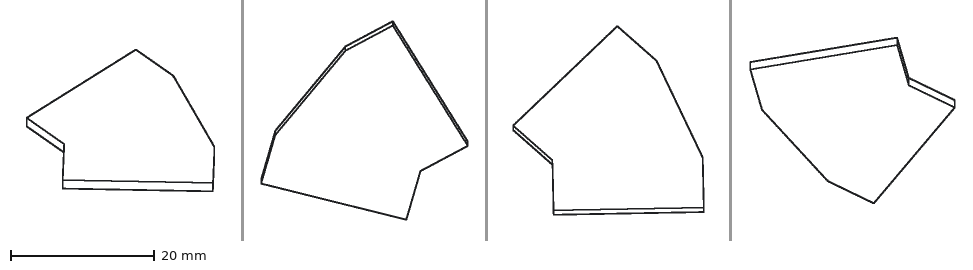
import cadquery as cq
import math

leg_length = 7.62
leg_width = 21.0
thickness = 1.6
bend_angle = 45.0

bend_cos = math.cos(math.radians(bend_angle))
bend_sin = math.sin(math.radians(bend_angle))


def turned_leg_point(along, across):
    """Point on the turned leg, which pivots clockwise about the inner corner (leg_length, 0)."""
    x = leg_length + along * bend_cos + across * bend_sin
    y = -along * bend_sin + across * bend_cos
    return (x, y)


outline = [
    (0, 0),
    turned_leg_point(0, 0),
    turned_leg_point(leg_length, 0),
    turned_leg_point(leg_length, leg_width),
    turned_leg_point(0, leg_width),
    (leg_length, leg_width),
    (0, leg_width),
]

result = cq.Workplane("XY").polyline(outline).close().extrude(thickness)